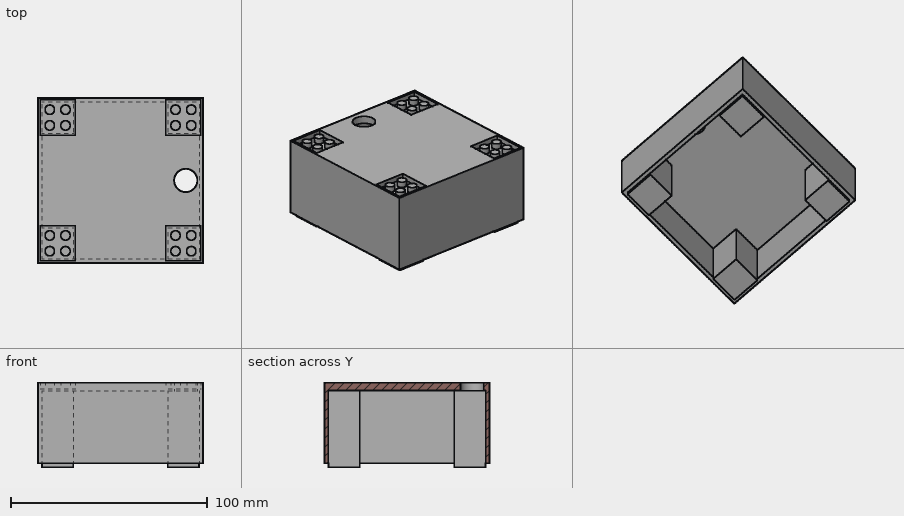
import cadquery as cq

box_side = 84.0
box_height = 41.0

corner_inset = 10.05
foot_side = 15.9
foot_height = 2.0
pocket_side = 17.9
pocket_depth = 3.0
pocket_floor_thickness = 1.0

stud_diameter = 4.8
stud_pitch = 8.0
stud_height = pocket_depth

cable_hole_diameter = 11.7
cable_hole_margin = 3.0

wall_thickness = corner_inset - foot_side / 2
roof_thickness = pocket_depth + pocket_floor_thickness
pocket_floor_z = box_height - pocket_depth
corner_offset = box_side / 2 - corner_inset
corner_spacing = 2 * corner_offset


def square_block(side, bottom_z, height):
    """Square block centred on the Z axis."""
    return cq.Workplane("XY", origin=(0, 0, bottom_z)).rect(side, side).extrude(height)


def corner_blocks(side, bottom_z, height):
    """One square block at each of the four stacking corners."""
    return (
        cq.Workplane("XY", origin=(0, 0, bottom_z))
        .rarray(corner_spacing, corner_spacing, 2, 2)
        .rect(side, side)
        .extrude(height)
    )


def hollow_box():
    """Box with a roof and four walls, open at the bottom."""
    cavity_side = box_side - 2 * wall_thickness
    cavity = square_block(cavity_side, 0, box_height - roof_thickness)
    return square_block(box_side, 0, box_height).cut(cavity)


def corner_posts():
    """Solid posts from the foot soles up to the pocket floors."""
    return corner_blocks(foot_side, -foot_height, foot_height + pocket_floor_z)


def corner_pockets():
    """Square recesses cut down from the top of the box."""
    return corner_blocks(pocket_side, pocket_floor_z, pocket_depth)


def stud_group(center_x, center_y):
    """A two by two group of studs standing on one pocket floor."""
    return (
        cq.Workplane("XY", origin=(center_x, center_y, pocket_floor_z))
        .rarray(stud_pitch, stud_pitch, 2, 2)
        .circle(stud_diameter / 2)
        .extrude(stud_height)
    )


def cable_hole():
    """Vertical cylinder beside the +X wall, passing through the roof."""
    hole_radius = cable_hole_diameter / 2
    hole_x = box_side / 2 - cable_hole_margin - hole_radius
    roof_underside_z = box_height - roof_thickness
    return (
        cq.Workplane("XY", origin=(hole_x, 0, roof_underside_z))
        .circle(hole_radius)
        .extrude(roof_thickness)
    )


result = hollow_box().union(corner_posts()).cut(corner_pockets())
for stud_x in (-corner_offset, corner_offset):
    for stud_y in (-corner_offset, corner_offset):
        result = result.union(stud_group(stud_x, stud_y))
result = result.cut(cable_hole())